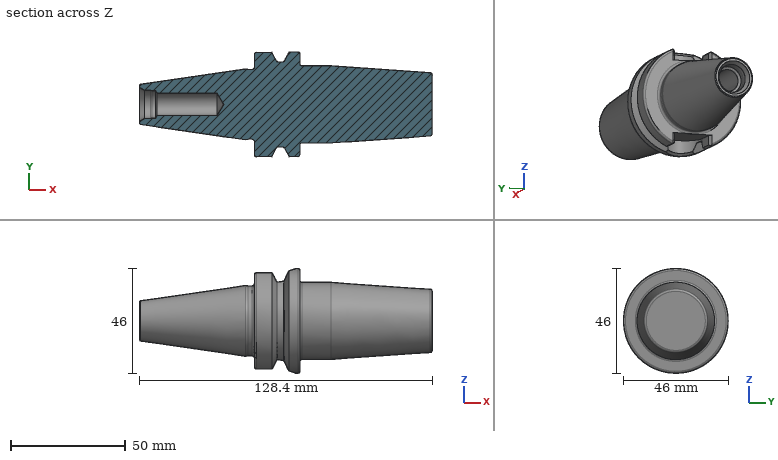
import math

import cadquery as cq


gauge_radius = 31.75 / 2
taper_length = 48.4
taper_slope = 7 / 24 / 2
end_chamfer = 0.4
taper_end_x = -2.0
neck_start_x = -0.75
neck_radius = 15.4
neck_fillet = 1.1

flange_radius = 23.0
flange_start_x = 2.0
flange_end_x = 22.0
rim_round = 0.9
groove_floor_radius = 18.85
groove_start_x = 9.65
groove_end_x = 17.2
groove_flank_angle = 62.0
groove_fillet = 0.5

slot_half_width = 8.05
slot_floor_height = 16.2
slot_end_x = 19.0
slot_chamfer = 1.1

nose_radius = 17.0
nose_root_fillet = 0.8
nose_cone_start_x = 35.5
nose_end_x = 80.0
nose_cone_angle = 4.0
nose_round = 1.0

mouth_radius = 7.4
pilot_radius = 6.15
mouth_depth = 2.2
pilot_depth = 4.9
guide_radius = 6.0
guide_taper = 0.6
guide_depth = 7.0
thread_radius = 4.85
thread_lead_in = 0.7
thread_depth = 34.0
drill_point_angle = 118.0


def turn(profile):
    """Revolve a half profile, drawn as (x, radius), about the X axis."""
    return profile.close().revolve(360, (0, 0, 0), (1, 0, 0))


def arc_point(center_x, center_radius, size, angle):
    """Point on a circle in the half-profile plane, angle in degrees from +X."""
    turn_angle = math.radians(angle)
    return (center_x + size * math.cos(turn_angle), center_radius + size * math.sin(turn_angle))


def turned_body():
    taper_start_x = -taper_length
    small_radius = gauge_radius - taper_slope * taper_length
    taper_end_radius = gauge_radius + taper_slope * taper_end_x
    chamfer_top = small_radius + taper_slope * end_chamfer

    flank = math.radians(groove_flank_angle)
    flank_run = (flange_radius - groove_floor_radius) / math.tan(flank)
    fillet_length = groove_fillet * math.tan(flank / 2)
    fillet_top_run = fillet_length * math.cos(flank)
    fillet_top = groove_floor_radius + fillet_length * math.sin(flank)
    front_corner_x = groove_start_x + flank_run
    rear_corner_x = groove_end_x - flank_run
    floor_start_x = front_corner_x + fillet_length
    floor_end_x = rear_corner_x - fillet_length
    fillet_center_radius = groove_floor_radius + groove_fillet
    half_flank = groove_flank_angle / 2

    nose_length = nose_end_x - nose_cone_start_x
    tip_radius = nose_radius - nose_length * math.tan(math.radians(nose_cone_angle))
    round_top = tip_radius + nose_round * math.tan(math.radians(nose_cone_angle))

    neck_corner = (flange_start_x - neck_fillet, neck_radius + neck_fillet)
    front_rim = (flange_start_x + rim_round, flange_radius - rim_round)
    rear_rim = (flange_end_x - rim_round, flange_radius - rim_round)
    root_corner = (flange_end_x + nose_root_fillet, nose_radius + nose_root_fillet)

    profile = (
        cq.Workplane("XY")
        .moveTo(taper_start_x, 0)
        .lineTo(taper_start_x, small_radius - end_chamfer)
        .lineTo(taper_start_x + end_chamfer, chamfer_top)
        .lineTo(taper_end_x, taper_end_radius)
        .lineTo(neck_start_x, neck_radius)
        .lineTo(flange_start_x - neck_fillet, neck_radius)
        .threePointArc(arc_point(*neck_corner, neck_fillet, -45), (flange_start_x, neck_corner[1]))
        .lineTo(flange_start_x, front_rim[1])
        .threePointArc(arc_point(*front_rim, rim_round, 135), (front_rim[0], flange_radius))
        .lineTo(groove_start_x, flange_radius)
        .lineTo(front_corner_x - fillet_top_run, fillet_top)
        .threePointArc(
            arc_point(floor_start_x, fillet_center_radius, groove_fillet, -90 - half_flank),
            (floor_start_x, groove_floor_radius),
        )
        .lineTo(floor_end_x, groove_floor_radius)
        .threePointArc(
            arc_point(floor_end_x, fillet_center_radius, groove_fillet, -90 + half_flank),
            (rear_corner_x + fillet_top_run, fillet_top),
        )
        .lineTo(groove_end_x, flange_radius)
        .lineTo(rear_rim[0], flange_radius)
        .threePointArc(arc_point(*rear_rim, rim_round, 45), (flange_end_x, rear_rim[1]))
        .lineTo(flange_end_x, root_corner[1])
        .threePointArc(arc_point(*root_corner, nose_root_fillet, -135), (root_corner[0], nose_radius))
        .lineTo(nose_cone_start_x, nose_radius)
        .lineTo(nose_end_x - nose_round, round_top)
        .threePointArc(
            arc_point(nose_end_x - nose_round, round_top - nose_round, nose_round, 45),
            (nose_end_x, round_top - nose_round),
        )
        .lineTo(nose_end_x, 0)
    )
    return turn(profile)


def flange_disc():
    width = flange_end_x - flange_start_x
    return cq.Workplane("YZ").workplane(offset=flange_start_x).circle(flange_radius).extrude(width)


def slotted_flange_disc():
    """Plain disc with both drive slots and their chamfers, before the groove is turned."""
    slot_center_x = slot_end_x - slot_half_width
    slot = (
        cq.Workplane("XY")
        .workplane(offset=slot_floor_height)
        .moveTo(flange_start_x, -slot_half_width)
        .lineTo(slot_center_x, -slot_half_width)
        .threePointArc((slot_end_x, 0), (slot_center_x, slot_half_width))
        .lineTo(flange_start_x, slot_half_width)
        .close()
        .extrude(flange_radius - slot_floor_height)
    )
    slotted = flange_disc().cut(slot).cut(slot.mirror("XY"))

    rim_height = math.sqrt(flange_radius**2 - slot_half_width**2)
    mouth_height = (slot_floor_height + rim_height) / 2
    wall_mid_x = (flange_start_x + slot_center_x) / 2

    chamfered = []
    for side in (-1, 1):
        for y in (-slot_half_width, slot_half_width):
            chamfered.append((flange_start_x, y, side * mouth_height))
            chamfered.append((wall_mid_x, y, side * rim_height))
        chamfered.append((slot_end_x, 0, side * flange_radius))
    edges = [slotted.edges(cq.selectors.NearestToPointSelector(point)).val() for point in chamfered]
    return slotted.newObject([slotted.val().chamfer(slot_chamfer, None, edges)])


def pull_stud_bore():
    start_x = -taper_length
    pilot_end_x = start_x + pilot_depth
    lead_in_x = start_x + guide_depth
    thread_end_x = start_x + thread_depth
    tip_x = thread_end_x + thread_radius / math.tan(math.radians(drill_point_angle / 2))
    profile = (
        cq.Workplane("XY")
        .moveTo(start_x, 0)
        .lineTo(start_x, mouth_radius)
        .lineTo(start_x + mouth_depth, pilot_radius)
        .lineTo(pilot_end_x, pilot_radius)
        .lineTo(pilot_end_x + guide_taper, guide_radius)
        .lineTo(lead_in_x, guide_radius)
        .lineTo(lead_in_x + thread_lead_in, thread_radius)
        .lineTo(thread_end_x, thread_radius)
        .lineTo(tip_x, 0)
    )
    return turn(profile)


slot_material = flange_disc().cut(slotted_flange_disc())
result = turned_body().cut(slot_material).cut(pull_stud_bore())